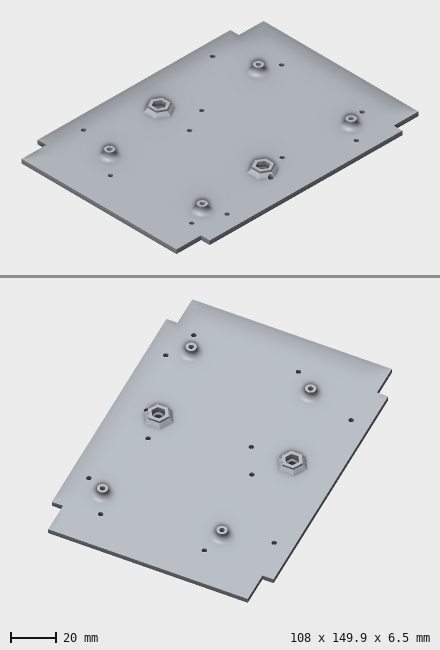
import cadquery as cq
import math

board_width = 107.95
board_length = 149.9
board_thickness = 2.5
notch_width = 5.4
notch_length = 15.3

standoff_diameter = 5.0
standoff_height = 4.0
standoff_foot_radius = 3.0
standoff_bore = 2.4
standoff_center_x = 6.53
standoff_spacing_x = 58.15
standoff_spacing_y = 92.2

holder_flats = 8.9
holder_height = 3.0
holder_skirt = 1.95
nut_flats = 5.8
nut_pocket_depth = holder_height
holder_bore = 3.4
holder_spacing = 65.1
holder_y = -5.5

mounting_hole = 2.4
outer_spacing_x = 90.2
outer_spacing_y = 80.0
upper_center_x = 6.15
upper_center_y = 32.35
upper_spacing_x = 50.5
upper_spacing_y = 49.4
lower_center_x = 13.5
lower_center_y = -31.5
lower_spacing_x = 51.0
lower_spacing_y = 49.0

total_height = board_thickness + standoff_height


def corner_points(center_x, center_y, spacing_x, spacing_y):
    """The four corners of a rectangle given by its centre and sides."""
    return [
        (center_x + side_x * spacing_x / 2, center_y + side_y * spacing_y / 2)
        for side_x in (-1, 1)
        for side_y in (-1, 1)
    ]


standoff_points = corner_points(standoff_center_x, 0, standoff_spacing_x, standoff_spacing_y)
holder_points = [(-holder_spacing / 2, holder_y), (holder_spacing / 2, holder_y)]
mounting_hole_points = (
    corner_points(0, 0, outer_spacing_x, outer_spacing_y)
    + corner_points(upper_center_x, upper_center_y, upper_spacing_x, upper_spacing_y)
    + corner_points(lower_center_x, lower_center_y, lower_spacing_x, lower_spacing_y)
)


def make_board():
    """Two crossed rectangles, which leaves the corner notches open."""
    full_length = cq.Workplane("XY").rect(board_width - 2 * notch_width, board_length)
    full_width = cq.Workplane("XY").rect(board_width, board_length - 2 * notch_length)
    return full_length.extrude(board_thickness).union(full_width.extrude(board_thickness))


def make_standoff(x, y):
    """Revolve the standoff profile; its foot is a quarter-round tangent to board and cylinder."""
    radius = standoff_diameter / 2
    foot_edge = radius + standoff_foot_radius
    foot_top = board_thickness + standoff_foot_radius
    profile = (
        cq.Workplane("XZ")
        .moveTo(0, 0)
        .lineTo(foot_edge, 0)
        .lineTo(foot_edge, board_thickness)
        .radiusArc((radius, foot_top), standoff_foot_radius)
        .lineTo(radius, total_height)
        .lineTo(0, total_height)
        .close()
    )
    return profile.revolve(360, (0, 0, 0), (0, 1, 0)).translate((x, y, 0))


def across_corners(flats):
    """Width across corners of a hexagon given by its width across flats."""
    return flats / math.cos(math.pi / 6)


def hexagon(flats, z):
    """Hexagon at height z, with two corners on the X axis."""
    return cq.Workplane("XY").workplane(offset=z).polygon(6, across_corners(flats))


def make_holder(x, y):
    """Hexagonal prism rising from the board, widened at its base by the skirt."""
    skirt_flats = holder_flats + 2 * holder_skirt
    skirt = (
        hexagon(skirt_flats, board_thickness)
        .workplane(offset=holder_skirt)
        .polygon(6, across_corners(holder_flats))
        .loft(ruled=True)
    )
    prism = hexagon(holder_flats, 0).extrude(board_thickness + holder_height)
    return prism.union(skirt).translate((x, y, 0))


def make_nut_pocket(x, y):
    """Hexagonal pocket cut down from the top of a holder."""
    floor = board_thickness + holder_height - nut_pocket_depth
    return hexagon(nut_flats, floor).extrude(nut_pocket_depth).translate((x, y, 0))


def make_bores(points, diameter):
    """Cylinders through the full height of the part."""
    return cq.Workplane("XY").pushPoints(points).circle(diameter / 2).extrude(total_height)


result = make_board()
for x, y in standoff_points:
    result = result.union(make_standoff(x, y))
for x, y in holder_points:
    result = result.union(make_holder(x, y)).cut(make_nut_pocket(x, y))

result = result.cut(make_bores(standoff_points, standoff_bore))
result = result.cut(make_bores(holder_points, holder_bore))
result = result.cut(make_bores(mounting_hole_points, mounting_hole))